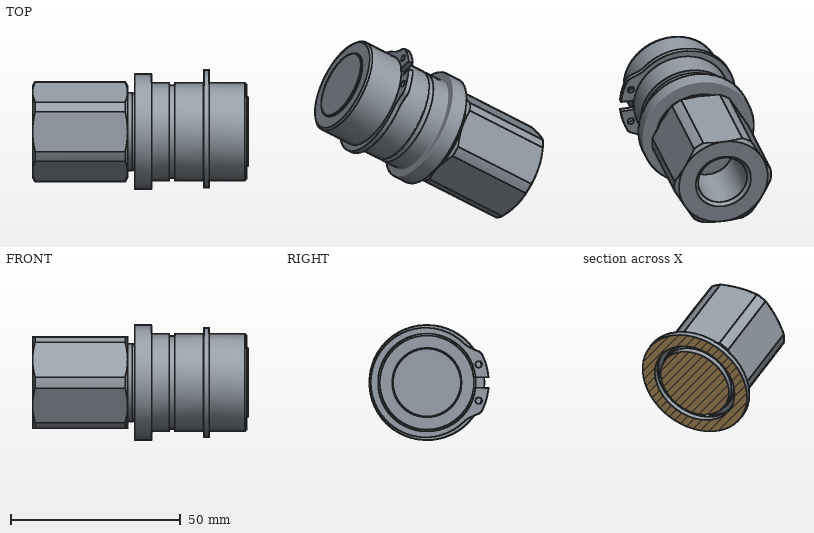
import cadquery as cq
import math

total_length = 63.6

hex_length = 28.0
hex_across_flats = 26.95
hex_corner_radius = 14.725
hex_end_chamfer_angle = 30.0

bore_radius = 7.45
bore_depth = 17.8
bore_chamfer = 0.95

neck_radius = 11.5
neck_chamfer_length = 0.7
neck_chamfer_depth = 0.4

flange_start = 30.1
flange_width = 4.95
flange_radius = 17.01
flange_edge_fillet = 0.2

recess_radius = 12.85
recess_depth = 1.9

plug_radius = 14.45
plug_length = 28.05
plug_end_chamfer = 0.6
plug_base_fillet = 0.25

groove_floor_radius = 13.75
seal_groove_start = 40.3
seal_groove_width = 1.6
groove_floor_fillet = 0.2
ring_groove_start = 50.4
ring_clearance = 0.1

boss_radius = 10.25
boss_chamfer = 0.25

ring_thickness = 1.5
ring_outer_radius = 16.15
ring_offset = 0.4
lug_outer_radius = 18.285
lug_root_half_width = 15.4
lug_taper_angle = 22.0
lug_corner_radius = 2.55
lug_root_fillet = 7.0
lug_hole_radius = 0.95
lug_hole_circle_radius = 16.15
lug_hole_half_spacing = 5.35
ring_gap = 3.1

flange_end = flange_start + flange_width
plug_end = flange_end + plug_length
ring_start = ring_groove_start + ring_clearance
ring_groove_width = ring_clearance + ring_thickness


def axial_cylinder(start, length, radius):
    """Solid cylinder on the X axis."""
    return cq.Workplane("YZ").workplane(offset=start).circle(radius).extrude(length)


def axial_ring(start, length, outer_radius, inner_radius):
    """Solid tube on the X axis."""
    return cq.Workplane("YZ").workplane(offset=start).circle(outer_radius).circle(inner_radius).extrude(length)


def make_hexagon():
    """Hexagon with flats up and down, its corners turned round and both ends chamfered."""
    flat_radius = hex_across_flats / 2
    corner_diameter = hex_across_flats / math.cos(math.radians(30))
    chamfer_radial = hex_corner_radius - flat_radius
    chamfer_axial = chamfer_radial * math.tan(math.radians(hex_end_chamfer_angle))
    hexagon = cq.Workplane("YZ").polygon(6, corner_diameter).extrude(hex_length)
    turned_envelope = (
        cq.Workplane("XY")
        .moveTo(0, 0)
        .lineTo(0, flat_radius)
        .lineTo(chamfer_axial, hex_corner_radius)
        .lineTo(hex_length - chamfer_axial, hex_corner_radius)
        .lineTo(hex_length, flat_radius)
        .lineTo(hex_length, 0)
        .close()
        .revolve(360, (0, 0, 0), (1, 0, 0))
    )
    return hexagon.intersect(turned_envelope)


def make_neck():
    neck = axial_cylinder(hex_length, flange_start - hex_length, neck_radius)
    return neck.faces(">X").chamfer(neck_chamfer_length, neck_chamfer_depth)


def make_flange():
    flange = axial_cylinder(flange_start, flange_width, flange_radius)
    return flange.faces("<X or >X").edges().fillet(flange_edge_fillet)


def make_flange_recess():
    neck_root_radius = neck_radius - neck_chamfer_depth
    return axial_ring(flange_start, recess_depth, recess_radius, neck_root_radius)


def make_plug():
    plug = axial_cylinder(flange_end, plug_length, plug_radius)
    return plug.faces(">X").chamfer(plug_end_chamfer)


def make_boss():
    boss = axial_cylinder(plug_end, total_length - plug_end, boss_radius)
    return boss.faces(">X").chamfer(boss_chamfer)


def make_seal_groove():
    groove = axial_ring(seal_groove_start, seal_groove_width, plug_radius + 0.65, groove_floor_radius)
    floor_edges = cq.selectors.RadiusNthSelector(0)
    return groove.edges(floor_edges).fillet(groove_floor_fillet)


def make_bore():
    bore = axial_cylinder(0, bore_depth, bore_radius)
    lead_in = cq.Workplane(
        cq.Solid.makeCone(bore_radius + bore_chamfer, bore_radius, bore_chamfer, cq.Vector(), cq.Vector(1, 0, 0))
    )
    return bore.union(lead_in)


def make_housing():
    housing = make_flange().union(make_plug())
    base_edge = cq.selectors.BoxSelector(
        (flange_end - 0.05, -plug_radius - 0.65, -plug_radius - 0.65),
        (flange_end + 0.05, plug_radius + 0.65, plug_radius + 0.65),
        boundingbox=True,
    )
    housing = housing.edges(base_edge).fillet(plug_base_fillet)
    housing = housing.union(make_neck()).union(make_hexagon()).union(make_boss())
    ring_groove = axial_ring(ring_groove_start, ring_groove_width, plug_radius + 0.65, groove_floor_radius)
    return housing.cut(make_bore()).cut(make_flange_recess()).cut(make_seal_groove()).cut(ring_groove)


def make_lugs():
    """Block of both lugs, narrowing toward +Y and ending on a circle about the axis."""
    half_width_at_tip = lug_root_half_width - lug_outer_radius * math.tan(math.radians(lug_taper_angle))
    wedge = (
        cq.Workplane("YZ")
        .workplane(offset=ring_start)
        .polyline([
            (0, -lug_root_half_width),
            (lug_outer_radius, -half_width_at_tip),
            (lug_outer_radius, half_width_at_tip),
            (0, lug_root_half_width),
        ])
        .close()
        .extrude(ring_thickness)
    )
    return wedge.intersect(axial_cylinder(ring_start, ring_thickness, lug_outer_radius))


def make_retaining_ring():
    band = axial_cylinder(ring_start, ring_thickness, ring_outer_radius).translate((0, -ring_offset, 0))
    ring = band.union(make_lugs())
    ring = ring.edges("|X").edges(">Y").fillet(lug_corner_radius)
    ring = ring.edges("|X").edges("<Y").fillet(lug_root_fillet)
    ring = ring.cut(axial_cylinder(ring_start, ring_thickness, groove_floor_radius))

    gap = cq.Workplane("XY").box(ring_thickness, lug_outer_radius, ring_gap, centered=(False, False, True))
    ring = ring.cut(gap.translate((ring_start, 0, 0)))

    hole_y = math.sqrt(lug_hole_circle_radius**2 - lug_hole_half_spacing**2)
    for side in (-1, 1):
        hole = axial_cylinder(ring_start, ring_thickness, lug_hole_radius)
        ring = ring.cut(hole.translate((0, hole_y, side * lug_hole_half_spacing)))
    return ring


housing = make_housing()
retaining_ring = make_retaining_ring()

result = cq.Compound.makeCompound([housing.solids().val(), retaining_ring.solids().val()])